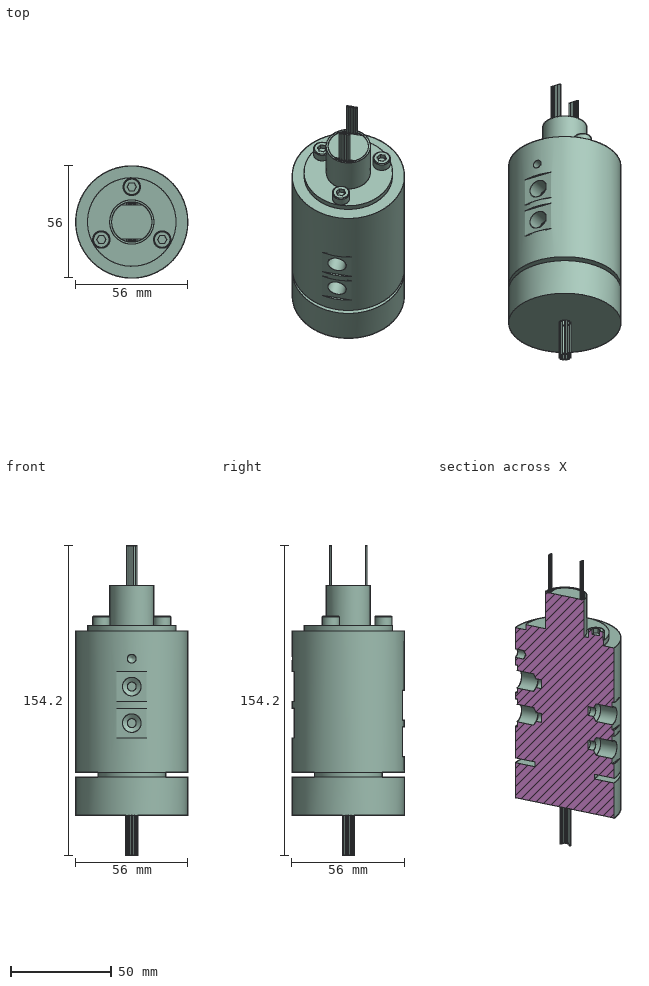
import cadquery as cq
import math

total_height = 154.2
cap_bottom = 19.9
cap_top = 39.0
body_bottom = 41.3
body_top = 111.8
plate_top = 114.5
tube_top = 134.5

body_diameter = 56.0
neck_diameter = 34.0
plate_diameter = 44.1
tube_diameter = 22.0
tube_bore = 20.0
bore_recess = 0.2

wire_diameter = 1.0
wires_per_ribbon = 6
ribbon_offset = 9.0
lower_wire_count = 2 * wires_per_ribbon
lower_wire_circle = 5.2
wire_overlap = 0.03
flat_offset = ribbon_offset - wire_diameter / 2
slot_depth = 0.2

screw_count = 3
screw_circle = 35.0
screw_head_diameter = 8.6
screw_head_height = 4.6
screw_head_chamfer = 0.5
socket_sides = 6
socket_across_corners = 4.6
socket_depth = 2.5

ports_per_side = 2
port_pitch = 18.2
front_port_top = 84.0
back_port_top = 74.8
port_flat_height = 14.8
port_flat_depth = 1.0
port_diameter = 9.3
port_depth = 9.3
port_pilot_diameter = 4.5
port_pilot_depth = 3.1
drill_half_angle = math.radians(59)

locating_hole_height = 97.9
locating_hole_diameter = 4.3
locating_hole_depth = 4.6


def disc(diameter, bottom, top):
    return cq.Workplane("XY").workplane(offset=bottom).circle(diameter / 2).extrude(top - bottom)


def tip_length(large_diameter, small_diameter=0.0):
    """Length of a drill cone between two diameters."""
    return (large_diameter - small_diameter) / 2 / math.tan(drill_half_angle)


def housing():
    cap = disc(body_diameter, cap_bottom, cap_top)
    neck = disc(neck_diameter, cap_top, body_bottom)
    body = disc(body_diameter, body_bottom, body_top)
    plate = disc(plate_diameter, body_top, plate_top)
    tube = disc(tube_diameter, plate_top, tube_top)
    return cap.union(neck).union(body).union(plate).union(tube)


def tube_end_cut():
    """Recess inside the tube rim, with a deeper slot beyond each flat for the wires."""
    recess = disc(tube_bore, tube_top - bore_recess, tube_top)
    slot_bottom = tube_top - bore_recess - slot_depth
    middle = cq.Workplane("XY").box(tube_bore, 2 * flat_offset, total_height)
    middle = middle.translate((0, 0, tube_top))
    slots = disc(tube_bore, slot_bottom, tube_top).cut(middle)
    return recess.union(slots)


def upper_ribbons():
    """Two flat rows of wires, rising out of the slots in the tube end."""
    root = tube_top - bore_recess - slot_depth
    pitch = wire_diameter - wire_overlap
    centres = []
    for side in (-1, 1):
        for index in range(wires_per_ribbon):
            x = (index - (wires_per_ribbon - 1) / 2) * pitch
            centres.append((x, side * ribbon_offset))
    ribbons = cq.Workplane("XY")
    for x, y in centres:
        ribbons = ribbons.union(disc(wire_diameter, root, total_height).translate((x, y, 0)))
    return ribbons


def lower_wires():
    """Ring of single wires hanging from the cap."""
    half_step = 180 / lower_wire_count
    return (
        cq.Workplane("XY")
        .polarArray(lower_wire_circle / 2, half_step, 360, lower_wire_count)
        .circle(wire_diameter / 2)
        .extrude(cap_bottom)
    )


def cap_screws():
    head = disc(screw_head_diameter, plate_top, plate_top + screw_head_height)
    head = head.faces(">Z").chamfer(screw_head_chamfer)
    socket = head.faces(">Z").workplane().polygon(socket_sides, socket_across_corners)
    head = socket.cutBlind(-socket_depth)
    screws = cq.Workplane("XY")
    for index in range(screw_count):
        angle = math.radians(90 + index * 360 / screw_count)
        x = screw_circle / 2 * math.cos(angle)
        y = screw_circle / 2 * math.sin(angle)
        screws = screws.union(head.translate((x, y, 0)))
    return screws


def port_cut(height):
    """Port on the -Y side: flat seat, bore, drill cone and flat-bottomed pilot hole."""
    seat_y = -body_diameter / 2 + port_flat_depth
    seat = cq.Workplane("XY").box(body_diameter, body_diameter, port_flat_height)
    seat = seat.translate((0, seat_y - body_diameter / 2, height))
    cone_start = seat_y + port_depth
    cone_end = cone_start + tip_length(port_diameter, port_pilot_diameter)
    bore = (
        cq.Workplane("XY")
        .moveTo(0, seat_y)
        .lineTo(port_diameter / 2, seat_y)
        .lineTo(port_diameter / 2, cone_start)
        .lineTo(port_pilot_diameter / 2, cone_end)
        .lineTo(port_pilot_diameter / 2, cone_end + port_pilot_depth)
        .lineTo(0, cone_end + port_pilot_depth)
        .close()
        .revolve(360, (0, 0), (0, 1))
        .translate((0, 0, height))
    )
    return seat.union(bore)


def locating_hole_cut():
    """Blind hole with a drill point on the -Y side."""
    surface_y = -body_diameter / 2
    cone_start = surface_y + locating_hole_depth
    return (
        cq.Workplane("XY")
        .moveTo(0, surface_y)
        .lineTo(locating_hole_diameter / 2, surface_y)
        .lineTo(locating_hole_diameter / 2, cone_start)
        .lineTo(0, cone_start + tip_length(locating_hole_diameter))
        .close()
        .revolve(360, (0, 0), (0, 1))
        .translate((0, 0, locating_hole_height))
    )


result = housing().cut(tube_end_cut()).cut(locating_hole_cut())
for row in range(ports_per_side):
    drop = row * port_pitch
    result = result.cut(port_cut(front_port_top - drop))
    back_port = port_cut(back_port_top - drop).rotate((0, 0, 0), (0, 0, 1), 180)
    result = result.cut(back_port)
result = result.union(cap_screws()).union(lower_wires()).union(upper_ribbons())